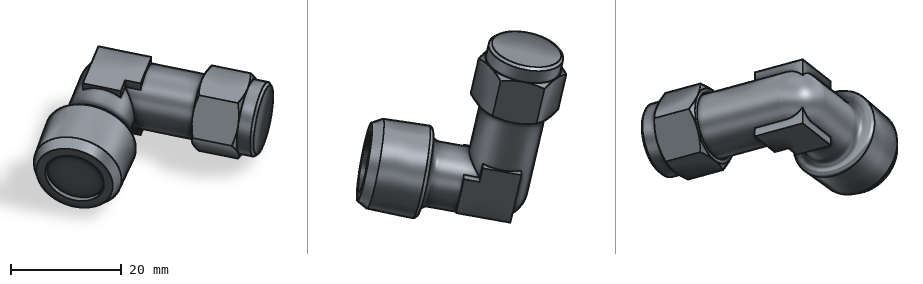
import cadquery as cq
import math

tube_radius = 6.0

pad_size = 10.0
pad_arm_half_width = 3.55
pad_height = 13.03

nut_start = 16.95
nut_length = 8.55
nut_across_flats = 14.0
nut_chamfer_angle = 30
nut_gap = 0.25
nut_gap_depth = 1.0
collar_radius = 6.9
collar_end = 28.5
collar_chamfer = 0.5

plug_radius = 8.5
plug_nose_radius = 8.25
plug_end_radius = 7.18
neck_start = 11.35
neck_fillet = 1.48
shoulder_length = 0.78
nose_start = 22.1
plug_end = 24.02
recess_radius = 5.5
recess_depth = 1.0


def make_elbow():
    x_arm = cq.Workplane("YZ").circle(tube_radius).extrude(nut_start)
    y_arm = cq.Workplane("XZ").circle(tube_radius).extrude(neck_start)
    corner = cq.Workplane("XY").sphere(tube_radius)
    return corner.union(x_arm).union(y_arm)


def make_pads():
    """L-shaped block whose flat ends stand proud of the tubes on both sides."""
    inner = pad_arm_half_width
    outer = pad_size - inner
    return (
        cq.Workplane("XY")
        .moveTo(-inner, inner)
        .lineTo(outer, inner)
        .lineTo(outer, -inner)
        .lineTo(inner, -inner)
        .lineTo(inner, -outer)
        .lineTo(-inner, -outer)
        .close()
        .extrude(pad_height / 2, both=True)
    )


def make_nut():
    flat_radius = nut_across_flats / 2
    corner_radius = flat_radius / math.cos(math.pi / 6)
    slope = math.tan(math.radians(nut_chamfer_angle))
    chamfer_length = (corner_radius - flat_radius) * slope
    nut_end = nut_start + nut_length
    hexagon = (
        cq.Workplane("YZ", origin=(nut_start, 0, 0))
        .polygon(6, 2 * corner_radius)
        .extrude(nut_length)
    )
    envelope = (
        cq.Workplane("XY")
        .moveTo(nut_start, 0)
        .lineTo(nut_start, flat_radius)
        .lineTo(nut_start + chamfer_length, corner_radius)
        .lineTo(nut_end - chamfer_length, corner_radius)
        .lineTo(nut_end, flat_radius)
        .lineTo(nut_end, 0)
        .close()
        .revolve(360, (0, 0, 0), (1, 0, 0))
    )
    return hexagon.intersect(envelope)


def make_nut_gap():
    """Ring of clearance between the tube and the mouth of the nut."""
    return (
        cq.Workplane("YZ", origin=(nut_start, 0, 0))
        .circle(tube_radius + nut_gap)
        .circle(tube_radius)
        .extrude(nut_gap_depth)
    )


def make_collar():
    return (
        cq.Workplane("YZ", origin=(nut_start, 0, 0))
        .circle(collar_radius)
        .extrude(collar_end - nut_start)
        .faces(">X")
        .chamfer(collar_chamfer)
    )


def make_plug():
    neck_end = neck_start + neck_fillet
    neck_middle = neck_fillet * math.sqrt(0.5)
    shoulder_inner_radius = tube_radius + neck_fillet
    floor = plug_end - recess_depth
    return (
        cq.Workplane("XY")
        .moveTo(0, -neck_start)
        .lineTo(tube_radius, -neck_start)
        .threePointArc(
            (shoulder_inner_radius - neck_middle, -neck_start - neck_middle),
            (shoulder_inner_radius, -neck_end),
        )
        .tangentArcPoint((plug_radius, -neck_end - shoulder_length), relative=False)
        .lineTo(plug_nose_radius, -nose_start)
        .lineTo(plug_end_radius, -plug_end)
        .lineTo(recess_radius, -plug_end)
        .lineTo(recess_radius, -floor)
        .lineTo(0, -floor)
        .close()
        .revolve(360, (0, 0, 0), (0, 1, 0))
    )


x_arm_fitting = make_nut().union(make_collar()).cut(make_nut_gap())
result = make_elbow().union(make_pads()).union(x_arm_fitting).union(make_plug())